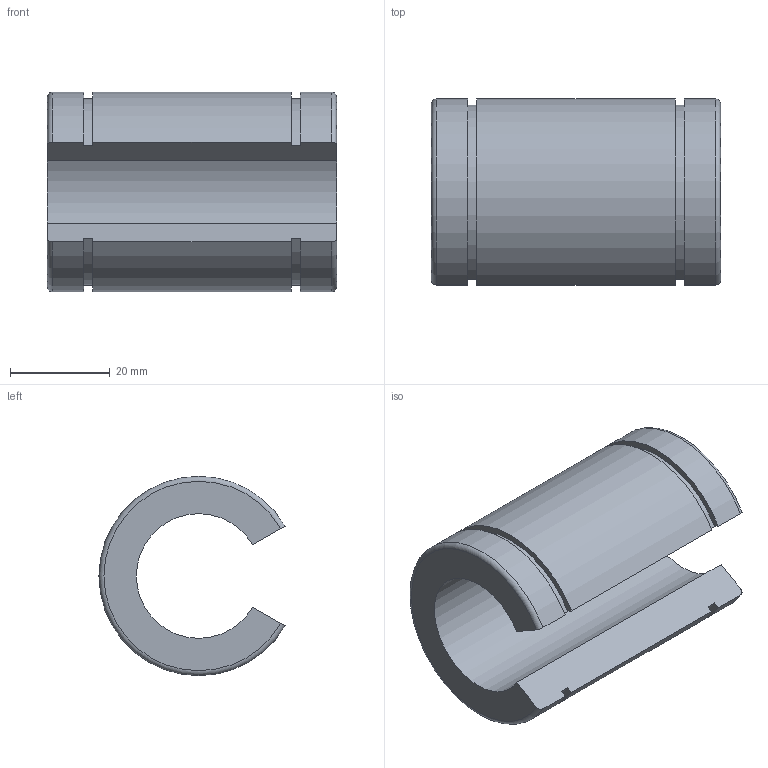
import cadquery as cq

length = 58.0
outer_diameter = 40.0
bore_diameter = 25.0
end_fillet = 1.0

groove_diameter = 37.5
groove_width = 1.85
groove_span = 43.5

opening_angle = 60.0


def cylinder_along_x(diameter, x_start, x_length):
    return cq.Workplane("YZ", origin=(x_start, 0, 0)).circle(diameter / 2).extrude(x_length)


def make_body():
    """Solid cylinder with rounded end rims."""
    return cylinder_along_x(outer_diameter, -length / 2, length).edges("%CIRCLE").fillet(end_fillet)


def make_groove(x_start):
    """Ring of material removed for one retaining ring groove."""
    ring = cylinder_along_x(outer_diameter, x_start, groove_width)
    return ring.cut(cylinder_along_x(groove_diameter, x_start, groove_width))


def make_opening():
    """Wedge from the sleeve axis towards -Y, reaching past the outer surface."""
    wedge_side = outer_diameter
    half_angle = opening_angle / 2
    return (
        cq.Workplane("YZ", origin=(-length / 2, 0, 0))
        .polarLine(wedge_side, 180 - half_angle)
        .polarLineTo(wedge_side, 180 + half_angle)
        .close()
        .extrude(length)
    )


result = make_body().cut(cylinder_along_x(bore_diameter, -length / 2, length))
for groove_start in (-groove_span / 2, groove_span / 2 - groove_width):
    result = result.cut(make_groove(groove_start))
result = result.cut(make_opening())